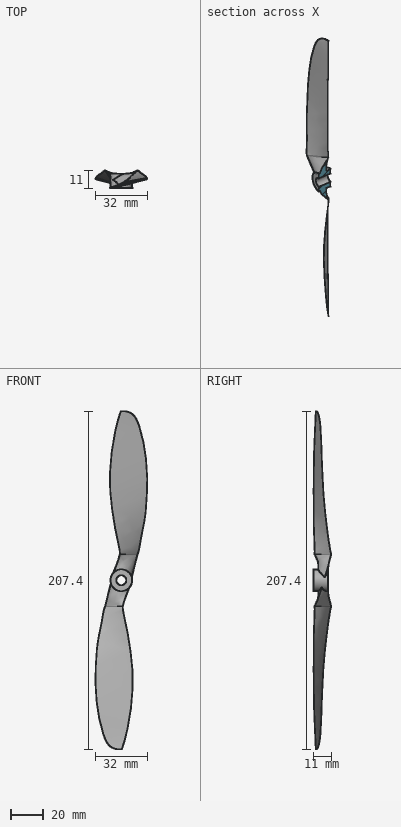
import cadquery as cq
import math


HUB_RADIUS = 6.7
HUB_LENGTH = 9.0
HUB_FRONT_Y = -5.495
BORE_RADIUS = 3.0

TIP_RADIUS = 103.705
CAMBER_RATIO = 0.02
THICKNESS_RATIO = 0.05

BLADE_STATIONS = [
    (16.0, (-0.9, -4.8), (10.0, 5.49)),
    (22.0, (-1.8, -4.9), (11.5, 4.3)),
    (30.0, (-3.5, -5.2), (13.0, 3.2)),
    (40.0, (-5.2, -5.35), (14.8, 2.0)),
    (50.0, (-6.5, -5.4), (15.6, 1.0)),
    (60.0, (-7.1, -5.4), (15.99, 0.4)),
    (70.0, (-6.8, -5.25), (15.6, -0.1)),
    (80.0, (-5.8, -5.1), (14.5, -0.4)),
    (90.0, (-4.1, -4.7), (12.4, -0.8)),
    (98.0, (-2.2, -4.3), (9.7, -1.5)),
    (102.0, (-1.0, -4.2), (6.8, -2.4)),
    (TIP_RADIUS, (-0.4, -4.1), (2.8, -3.4)),
]

ARM_STATIONS = [
    (2.0, (-6.2, 0.3), (6.5, 1.5), 2.4, -3.6),
    (9.5, (-3.0, -2.0), (8.4, 3.8), 2.0, -2.9),
]


def lens_section(radius, low_edge, high_edge, back_bulge, front_bulge):
    """Closed wire at z = radius: two arcs between the edges.

    Bulges are the arc heights of the back and front faces, measured from
    the chord line toward the back (+Y) side.
    """
    chord_x = high_edge[0] - low_edge[0]
    chord_y = high_edge[1] - low_edge[1]
    chord = math.hypot(chord_x, chord_y)
    mid_x = (low_edge[0] + high_edge[0]) / 2
    mid_y = (low_edge[1] + high_edge[1]) / 2

    def arc_middle(bulge):
        return cq.Vector(mid_x - bulge * chord_y / chord, mid_y + bulge * chord_x / chord, radius)

    low_point = cq.Vector(*low_edge, radius)
    high_point = cq.Vector(*high_edge, radius)
    back = cq.Edge.makeThreePointArc(low_point, arc_middle(back_bulge), high_point)
    front = cq.Edge.makeThreePointArc(high_point, arc_middle(front_bulge), low_point)
    return cq.Wire.assembleEdges([back, front])


def blade_section(radius, low_edge, high_edge):
    chord = math.dist(low_edge, high_edge)
    back_bulge = (CAMBER_RATIO + THICKNESS_RATIO / 2) * chord
    front_bulge = (CAMBER_RATIO - THICKNESS_RATIO / 2) * chord
    return lens_section(radius, low_edge, high_edge, back_bulge, front_bulge)


def make_blade():
    """Twisted, cambered blade on the +Z side."""
    sections = [blade_section(*station) for station in BLADE_STATIONS]
    return cq.Workplane(cq.Solid.makeLoft(sections))


def make_arm():
    """Thick arm joining the hub to the blade root."""
    sections = [lens_section(*station) for station in ARM_STATIONS]
    sections.append(blade_section(*BLADE_STATIONS[0]))
    return cq.Workplane(cq.Solid.makeLoft(sections))


def hub_cylinder(radius):
    front_plane = cq.Plane(origin=(0, HUB_FRONT_Y, 0), xDir=(1, 0, 0), normal=(0, 1, 0))
    return cq.Workplane(front_plane).circle(radius).extrude(HUB_LENGTH)


upper_half = make_arm().union(make_blade())
lower_half = upper_half.rotate((0, 0, 0), (0, 1, 0), 180)

result = hub_cylinder(HUB_RADIUS).union(upper_half).union(lower_half).cut(hub_cylinder(BORE_RADIUS))